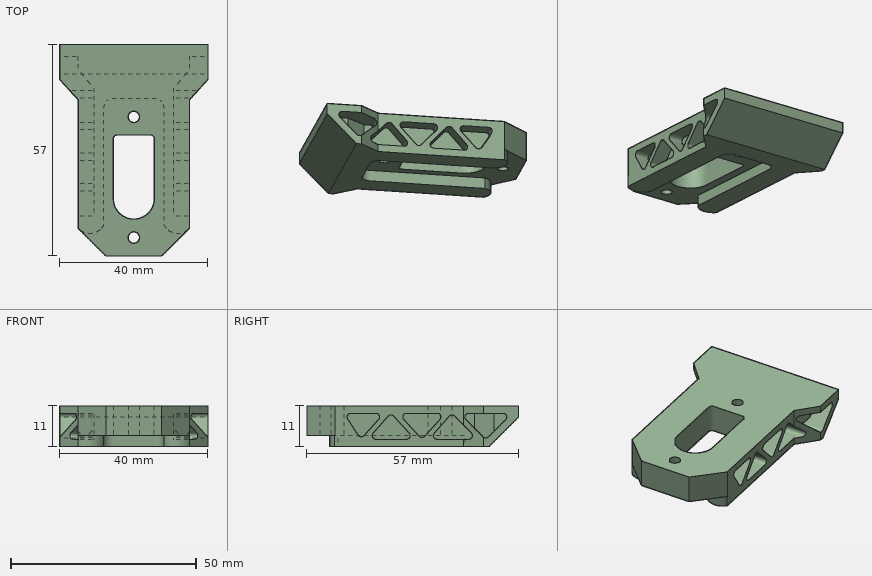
import cadquery as cq
import math

length = 57.0
flange_half = 20.0
thickness = 11.0

body_half = 15.0
front_chamfer = 7.5
neck_y = 42.1
shoulder_y = 47.6

bevel = 8.0

window_half = 5.5
window_front = 10.0
window_rear = 32.6
window_corner_radius = 1.0

hole_diameter = 3.0
hole_ys = (5.0, 37.5)

recess_height = 3.0
recess_half = 8.1
recess_radius = 2.6
recess_rear = sum(hole_ys)

rail_end_x = 11.9
rail_end_radius = 4.3
rail_tip_y = 6.1

truss_radius = 1.0
truss_low = 3.0
truss_high = 8.0
truss_nodes = (4.2, 13.45, 21.95, 30.2, 38.45, 45.2)
truss_tips = ((8.85, 3.35), (17.95, 7.55), (26.05, 3.5), (34.4, 7.55), (42.4, 3.65))

floor_body_half = 10.7
floor_flange_half = 15.0
floor_neck_y = 45.1
floor_shoulder_y = 50.3


def mirrored_outline(right_side):
    """Closed plan wire through the given points and their mirror images in X."""
    left_side = [(-x, y) for x, y in reversed(right_side)]
    return cq.Workplane("XY").polyline(right_side + left_side).close()


def make_plate():
    """Plan outline with its upper front corners chamfered and its lower rear edge bevelled."""
    plate = mirrored_outline(
        [
            (body_half, 0),
            (body_half, neck_y),
            (flange_half, shoulder_y),
            (flange_half, length),
        ]
    ).extrude(thickness)
    for side in (-1, 1):
        corner = (
            cq.Workplane("XY", origin=(0, 0, recess_height))
            .polyline(
                [
                    (side * body_half, 0),
                    (side * body_half, front_chamfer),
                    (side * (body_half - front_chamfer), 0),
                ]
            )
            .close()
            .extrude(thickness - recess_height)
        )
        plate = plate.cut(corner)
    rear_wedge = (
        cq.Workplane("YZ")
        .polyline([(length - bevel, 0), (length, 0), (length, bevel)])
        .close()
        .extrude(flange_half, both=True)
    )
    return plate.cut(rear_wedge)


def make_recess():
    """Underside recess, leaving two rails with rounded front ends."""
    rail_end_y = rail_tip_y + rail_end_radius
    side_y = rail_end_y - math.sqrt(rail_end_radius**2 - (body_half - rail_end_x) ** 2)
    inner_y = rail_end_y - math.sqrt(rail_end_radius**2 - (rail_end_x - recess_half) ** 2)
    return (
        cq.Workplane("XY")
        .moveTo(-body_half, 0)
        .lineTo(-body_half, side_y)
        .threePointArc((-rail_end_x, rail_tip_y), (-recess_half, inner_y))
        .lineTo(-recess_half, recess_rear)
        .lineTo(recess_half, recess_rear)
        .lineTo(recess_half, inner_y)
        .threePointArc((rail_end_x, rail_tip_y), (body_half, side_y))
        .lineTo(body_half, 0)
        .close()
        .extrude(recess_height)
        .edges("|Z and >Y")
        .fillet(recess_radius)
    )


def make_window():
    """Opening with square rear corners, lightly rounded, and a round front end."""
    arc_y = window_front + window_half
    return (
        cq.Workplane("XY")
        .moveTo(-window_half, arc_y)
        .lineTo(-window_half, window_rear)
        .lineTo(window_half, window_rear)
        .lineTo(window_half, arc_y)
        .threePointArc((0, window_front), (-window_half, arc_y))
        .close()
        .extrude(thickness)
        .edges("|Z and >Y")
        .fillet(window_corner_radius)
    )


def make_holes():
    """Screw holes through the full thickness."""
    return (
        cq.Workplane("XY")
        .pushPoints([(0, y) for y in hole_ys])
        .circle(hole_diameter / 2)
        .extrude(thickness)
    )


def make_truss_pockets():
    """Rounded triangles, alternately pointing down and up, outside the pocket floor."""
    pockets = cq.Workplane("XY")
    for index, (tip_distance, tip_z) in enumerate(truss_tips):
        base_z = truss_low if index % 2 else truss_high
        corners = [
            (length - truss_nodes[index], base_z),
            (length - truss_nodes[index + 1], base_z),
            (length - tip_distance, tip_z),
        ]
        triangle = (
            cq.Workplane("YZ")
            .polyline(corners)
            .close()
            .offset2D(truss_radius)
            .extrude(flange_half, both=True)
        )
        pockets = pockets.add(triangle)

    core = mirrored_outline(
        [
            (floor_body_half, 0),
            (floor_body_half, floor_neck_y),
            (floor_flange_half, floor_shoulder_y),
            (floor_flange_half, length),
        ]
    ).extrude(thickness)
    return pockets.combine().cut(core)


result = (
    make_plate()
    .cut(make_recess())
    .cut(make_window())
    .cut(make_holes())
    .cut(make_truss_pockets())
)